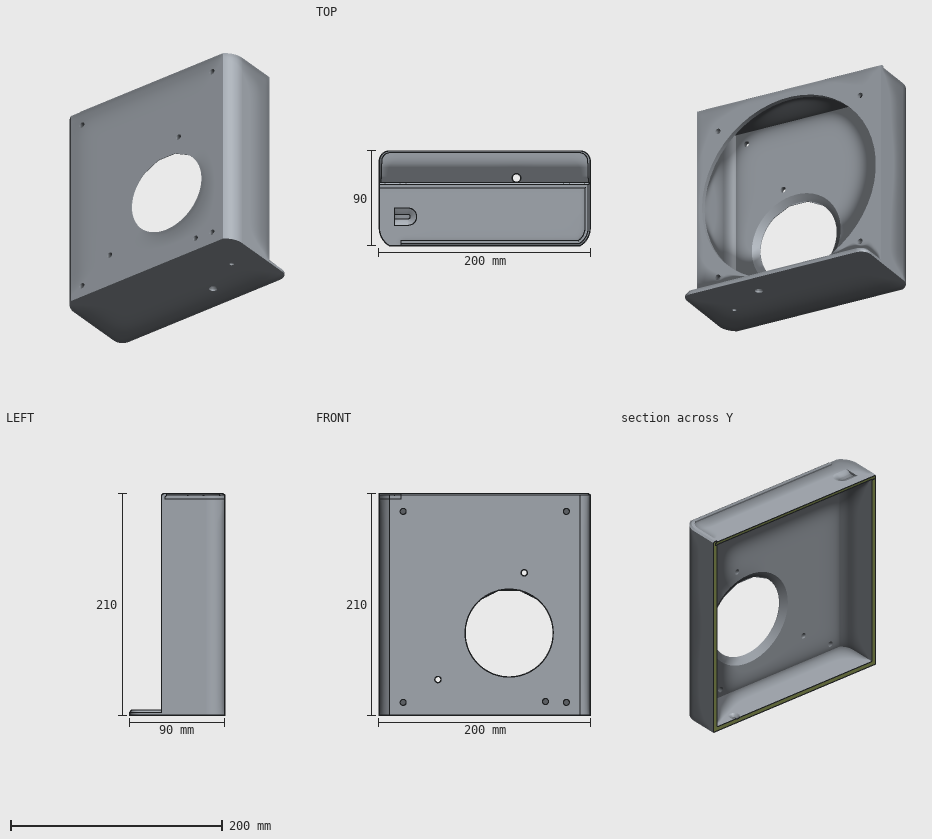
import cadquery as cq
import math

width = 200.0
depth = 60.0
height = 210.0
wall = 5.0
corner_radius = 20.0
corner_depth = 17.2
rim_chamfer_width = 2.0
rim_chamfer_height = 1.3

lid_edge_inset = 3.4
lid_bevel = wall - lid_edge_inset
lid_thickness = 3.4
lid_base_z = height - 5.0
lid_top_z = lid_base_z + lid_thickness
entry_length = 20.8

grip_start_x = 14.7
grip_center_x = 27.3
grip_center_y = 27.7
grip_top_radius = 8.2
grip_floor_radius = 2.0
grip_depth = 2.5

foot_length = 30.0
foot_thickness = 5.0
foot_corner_radius = 10.0
foot_edge_height = 2.5
foot_chamfer = 1.7
foot_chamfer_corner = 2.5
foot_chamfer_wall = 1.7
foot_hole_x = 130.0
foot_hole_y = 64.3
foot_hole_diameter = 8.0

opening_x = 123.0
opening_z = 78.0
opening_radius = 41.5
flat_end_angles = (50.5, 76.0, 104.0, 129.5)
opening_lip = 0.8
flare_radius = 48.3

back_opening_radius = 94.5

screw_diameter = 5.7
corner_hole_edge = 22.7
corner_hole_low_z = 12.2
corner_hole_high_z = 193.0
extra_hole = (157.5, 13.0)
middle_holes = [(55.6, 33.8), (137.3, 134.8)]
back_hole_low_z = 27.7
floor_hole_x = 170.0
floor_hole_y = 40.5
floor_hole_diameter = 4.5
floor_sink_diameter = 10.5


def housing_outline(inset, z):
    """Plan outline at height z, moved inwards by inset: square at the back, arcs at the front."""
    radius = corner_radius - inset
    sweep = math.asin((corner_depth - inset) / radius)

    def corner_point(angle):
        return (corner_radius - radius * math.cos(angle), corner_depth - radius * math.sin(angle))

    def mirrored(point):
        return (width - point[0], point[1])

    side = corner_point(0)
    middle = corner_point(sweep / 2)
    front = corner_point(sweep)
    back_y = depth - inset
    return (
        cq.Workplane("XY", origin=(0, 0, z))
        .moveTo(inset, back_y)
        .lineTo(*side)
        .threePointArc(middle, front)
        .lineTo(*mirrored(front))
        .threePointArc(mirrored(middle), mirrored(side))
        .lineTo(width - inset, back_y)
        .close()
    )


def loft_between(lower, upper):
    """Straight-sided solid between two closed outlines."""
    wires = [lower.wire().val(), upper.wire().val()]
    return cq.Workplane(cq.Solid.makeLoft(wires, True))


def block(x_range, y_range, z_range):
    (x0, x1), (y0, y1), (z0, z1) = x_range, y_range, z_range
    return cq.Workplane("XY").box(x1 - x0, y1 - y0, z1 - z0, centered=False).translate((x0, y0, z0))


def lid_blank():
    """Lid without its finger recess: a bevelled panel with a full-width end at -X."""
    panel = housing_outline(lid_edge_inset, lid_base_z).extrude(lid_thickness)
    panel = panel.faces(">Z").edges().chamfer(lid_bevel)
    back_y = depth - lid_edge_inset
    entry = (
        cq.Workplane("YZ")
        .moveTo(0, lid_base_z)
        .lineTo(back_y, lid_base_z)
        .lineTo(back_y, lid_top_z - lid_bevel)
        .lineTo(back_y - lid_bevel, lid_top_z)
        .lineTo(0, lid_top_z)
        .close()
        .extrude(entry_length)
        .intersect(housing_outline(0, lid_base_z).extrude(lid_thickness))
    )
    return panel.union(entry)


def grip_recess():
    """Sloped-side pocket with a square end towards -X and a conical end towards +X."""
    floor_z = lid_top_z - grip_depth
    cone = cq.Workplane(
        cq.Solid.makeCone(
            grip_floor_radius,
            grip_top_radius,
            grip_depth,
            pnt=cq.Vector(grip_center_x, grip_center_y, floor_z),
        )
    )
    trough = (
        cq.Workplane("YZ", origin=(grip_start_x, grip_center_y, floor_z))
        .moveTo(-grip_floor_radius, 0)
        .lineTo(grip_floor_radius, 0)
        .lineTo(grip_top_radius, grip_depth)
        .lineTo(-grip_top_radius, grip_depth)
        .close()
        .extrude(grip_center_x - grip_start_x)
    )
    return trough.union(cone)


def foot_outline(z, back_inset, corner_inset, wall_inset):
    """Foot outline at height z, with its sides drawn in by the given amounts."""
    back_y = depth + foot_length - back_inset
    corner_y = depth + foot_length - foot_corner_radius
    corner_x = foot_corner_radius
    center_x = foot_corner_radius
    diagonal = math.sqrt(0.5)
    middle_x = center_x - (corner_x - corner_inset) * diagonal
    middle_y = corner_y + (foot_corner_radius - back_inset) * diagonal
    start_y = depth - wall
    return (
        cq.Workplane("XY", origin=(0, 0, z))
        .moveTo(wall_inset, start_y)
        .lineTo(corner_inset, corner_y)
        .threePointArc((middle_x, middle_y), (center_x, back_y))
        .lineTo(width - center_x, back_y)
        .threePointArc((width - middle_x, middle_y), (width - corner_inset, corner_y))
        .lineTo(width - wall_inset, start_y)
        .close()
    )


def make_foot():
    plate = foot_outline(0, 0, 0, 0).extrude(foot_edge_height)
    bevel = loft_between(
        foot_outline(foot_edge_height, 0, 0, 0),
        foot_outline(foot_thickness, foot_chamfer, foot_chamfer_corner, foot_chamfer_wall),
    )
    hole = (
        cq.Workplane("XY")
        .center(foot_hole_x, foot_hole_y)
        .circle(foot_hole_diameter / 2)
        .extrude(foot_thickness)
    )
    return plate.union(bevel).cut(hole)


def wall_holes(points, start_y, end_y):
    """Round screw holes along Y at (X, Z) points, from start_y to end_y."""
    return (
        cq.Workplane("XZ", origin=(0, start_y, 0))
        .pushPoints(points)
        .circle(screw_diameter / 2)
        .extrude(start_y - end_y)
    )


def front_opening():
    """Round opening whose top is three straight edges."""

    def rim_point(angle):
        turn = math.radians(angle)
        return (opening_x + opening_radius * math.cos(turn), opening_z + opening_radius * math.sin(turn))

    first, second, third, last = [rim_point(angle) for angle in flat_end_angles]
    return (
        cq.Workplane("XZ")
        .moveTo(*first)
        .lineTo(*second)
        .lineTo(*third)
        .lineTo(*last)
        .threePointArc(rim_point(270), first)
        .close()
        .extrude(-wall)
    )


def opening_flare():
    """Cone that widens the front opening from its thin lip to the inner face of the wall."""
    return cq.Workplane(
        cq.Solid.makeCone(
            opening_radius,
            flare_radius,
            wall - opening_lip,
            pnt=cq.Vector(opening_x, opening_lip, opening_z),
            dir=cq.Vector(0, 1, 0),
        )
    )


def back_opening():
    return (
        cq.Workplane("XZ", origin=(width / 2, depth, height / 2))
        .circle(back_opening_radius)
        .extrude(wall)
    )


def hole_rectangle(edge, low_z, high_z):
    """Four (X, Z) points at equal distances from the two sides."""
    return [(x, z) for x in (edge, width - edge) for z in (low_z, high_z)]


def floor_hole():
    """Countersunk hole through the floor."""
    return (
        cq.Workplane("XY", origin=(0, 0, wall))
        .center(floor_hole_x, floor_hole_y)
        .circle(floor_hole_diameter / 2)
        .extrude(-wall)
        .union(floor_countersink())
    )


def floor_countersink():
    """90 degree cone, widest at the floor surface."""
    sink_depth = (floor_sink_diameter - floor_hole_diameter) / 2
    return cq.Workplane(
        cq.Solid.makeCone(
            floor_hole_diameter / 2,
            floor_sink_diameter / 2,
            sink_depth,
            pnt=cq.Vector(floor_hole_x, floor_hole_y, wall - sink_depth),
        )
    )


def back_lip_end():
    """Rim of the back wall beside the lid entry, bevelled at the back only."""
    rim_z = height - rim_chamfer_height
    return (
        cq.Workplane("YZ")
        .moveTo(depth - wall, rim_z)
        .lineTo(depth, rim_z)
        .lineTo(depth - rim_chamfer_width, height)
        .lineTo(depth - wall, height)
        .close()
        .extrude(entry_length)
    )


def make_housing():
    rim_z = height - rim_chamfer_height
    body = housing_outline(0, 0).extrude(rim_z)
    body = body.union(loft_between(housing_outline(0, rim_z), housing_outline(rim_chamfer_width, height)))
    body = body.union(back_lip_end())
    body = body.union(make_foot())
    body = body.cut(housing_outline(wall, wall).extrude(height - wall))
    body = body.cut(lid_blank())
    body = body.cut(block((0, entry_length), (0, depth - wall), (lid_base_z, height)))
    body = body.cut(front_opening())
    body = body.cut(opening_flare())
    corner_holes = hole_rectangle(corner_hole_edge, corner_hole_low_z, corner_hole_high_z)
    body = body.cut(wall_holes(corner_holes + middle_holes + [extra_hole], 0, wall))
    body = body.cut(back_opening())
    back_holes = hole_rectangle(corner_hole_edge, back_hole_low_z, height - back_hole_low_z)
    body = body.cut(wall_holes(back_holes, depth - wall, depth))
    return body.cut(floor_hole())


def make_lid():
    return lid_blank().cut(grip_recess())


housing = make_housing()
lid = make_lid()
result = cq.Compound.makeCompound([housing.val(), lid.val()])